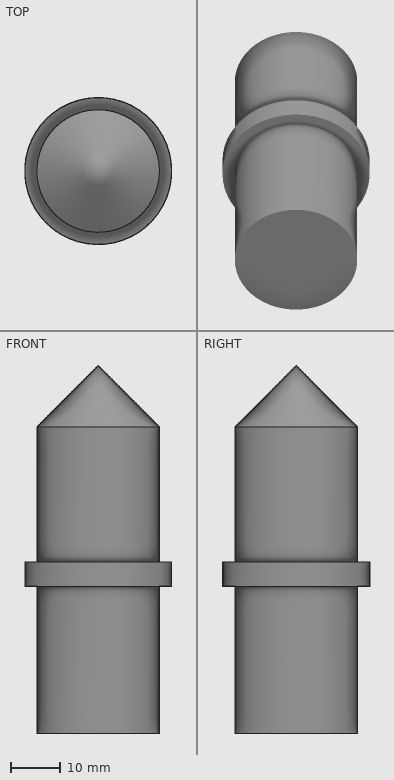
import cadquery as cq

shank_diameter = 25.0
shank_length = 30.0
collar_diameter = 30.0
collar_thickness = 5.0
tip_height = 12.5
overall_height = 75.06

shank_radius = shank_diameter / 2
collar_radius = collar_diameter / 2
collar_top = shank_length + collar_thickness
tip_base = overall_height - tip_height


def make_shank():
    """Plain lower cylinder that carries the collar on its top face."""
    return cq.Workplane("XY").circle(shank_radius).extrude(shank_length)


def make_pointed_head():
    """Collar, upper cylinder and conical tip, revolved as one solid about Z."""
    return (
        cq.Workplane("XZ")
        .moveTo(0, shank_length)
        .lineTo(collar_radius, shank_length)
        .lineTo(collar_radius, collar_top)
        .lineTo(shank_radius, collar_top)
        .lineTo(shank_radius, tip_base)
        .lineTo(0, overall_height)
        .close()
        .revolve(360, (0, 0, 0), (0, 1, 0))
    )


shank = make_shank()
pointed_head = make_pointed_head()

result = cq.Compound.makeCompound([shank.val(), pointed_head.val()])